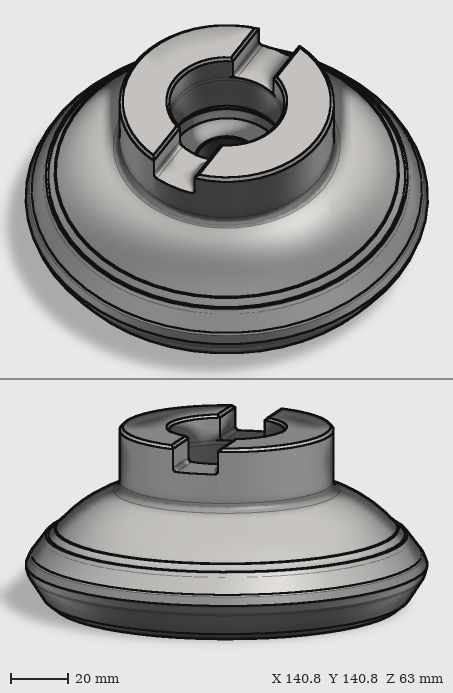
import cadquery as cq
import math

outer_diameter = 140.8
height = 63.0

hub_diameter = 75.0
hub_chamfer = 1.1
hub_fillet = 3.2
slot_width = 16.5
slot_depth = 9.2
slot_floor_radius = 1.4
slot_chamfer = 1.0

bore_entry_diameter = 40.3
bore_diameter = 40.0
bore_chamfer = 1.0
bore_taper_height = 1.4
bore_end_z = 39.4
relief_depth = 2.0
relief_flare_angle = 30.0
relief_wall_height = 0.4
bore_floor_z = 33.0
bolt_hole_diameter = 22.0
bolt_hole_chamfer = 0.4

dome_top_z = 41.2
dome_middle_radius = 50.4
dome_middle_z = 35.2
dome_end_radius = 59.8
dome_end_z = 26.9
rim_bevel = 0.4

seat_upper_radius = 64.2
seat_upper_z = 22.8
seat_diameter = 136.5
seat_top_z = 17.5
seat_bottom_z = 10.1
body_base_radius = 60.3

ring_top_z = 24.5
ring_top_radius = 63.4
ring_edge_drop = 0.3
ring_edge_step = 0.3
nose_upper_radius = 69.1
nose_upper_z = 16.9
nose_top_z = 14.0
nose_bottom_z = 13.5
nose_lower_radius = 69.5
nose_lower_z = 10.8
flank_top_radius = 69.1
flank_top_z = 10.1
flank_bottom_radius = 64.2
flank_bottom_z = 2.5
ring_base_radius = 61.4
ring_base_bevel = 0.4

selection_margin = 0.1

outer_radius = outer_diameter / 2
hub_radius = hub_diameter / 2
bore_entry_radius = bore_entry_diameter / 2
bore_radius = bore_diameter / 2
bolt_hole_radius = bolt_hole_diameter / 2
seat_radius = seat_diameter / 2
slot_floor_z = height - slot_depth
rim_radius = dome_end_radius + rim_bevel
rim_z = seat_upper_z + seat_upper_radius - rim_radius
ring_inner_radius = seat_upper_radius - (ring_top_z - seat_upper_z)


def revolve(profile):
    """Turn a closed (radius, height) outline about the Z axis."""
    return profile.close().revolve(360, (0, 0, 0), (0, 1, 0))


def body_blank():
    """Body without its bore and slot."""
    blank = revolve(
        cq.Workplane("XZ")
        .lineTo(body_base_radius, 0)
        .lineTo(seat_radius, seat_bottom_z)
        .lineTo(seat_radius, seat_top_z)
        .lineTo(seat_upper_radius, seat_upper_z)
        .lineTo(rim_radius, rim_z)
        .lineTo(dome_end_radius, dome_end_z)
        .threePointArc((dome_middle_radius, dome_middle_z), (hub_radius, dome_top_z))
        .lineTo(hub_radius, height)
        .lineTo(0, height)
    )
    blank = blank.faces(">Z").edges().chamfer(hub_chamfer)
    reach = hub_radius + selection_margin
    hub_root = cq.selectors.BoxSelector(
        (-reach, -reach, dome_top_z - selection_margin),
        (reach, reach, dome_top_z + selection_margin),
        boundingbox=True,
    )
    return blank.edges(hub_root).fillet(hub_fillet)


def bore_cutter():
    """Stepped bore with a relief groove above its floor, and the bolt hole below."""
    relief_radius = bore_radius + relief_depth
    relief_top_z = bore_end_z - relief_depth / math.tan(math.radians(relief_flare_angle))
    return revolve(
        cq.Workplane("XZ")
        .lineTo(bolt_hole_radius, 0)
        .lineTo(bolt_hole_radius, bore_floor_z - bolt_hole_chamfer)
        .lineTo(bolt_hole_radius + bolt_hole_chamfer, bore_floor_z)
        .lineTo(bore_radius, bore_floor_z)
        .lineTo(relief_radius, relief_top_z - relief_wall_height)
        .lineTo(relief_radius, relief_top_z)
        .lineTo(bore_radius, bore_end_z)
        .lineTo(bore_radius, slot_floor_z - bore_taper_height)
        .lineTo(bore_entry_radius, slot_floor_z)
        .lineTo(bore_entry_radius, height - bore_chamfer)
        .lineTo(bore_entry_radius + bore_chamfer, height)
        .lineTo(0, height)
    )


def slot_cutter():
    """Slot along Y with rounded floor corners and chamfered top edges."""
    half_width = slot_width / 2
    slot = (
        cq.Workplane("XY")
        .box(slot_width, hub_diameter, slot_depth, centered=(True, True, False))
        .edges("|Y and <Z")
        .fillet(slot_floor_radius)
        .translate((0, 0, slot_floor_z))
    )
    mouth = (
        cq.Workplane("XZ")
        .moveTo(-half_width, height - slot_chamfer)
        .lineTo(half_width, height - slot_chamfer)
        .lineTo(half_width + slot_chamfer, height)
        .lineTo(-half_width - slot_chamfer, height)
        .close()
        .extrude(hub_radius, both=True)
    )
    return slot.union(mouth)


def make_body():
    return body_blank().cut(bore_cutter()).cut(slot_cutter())


def make_cutting_ring():
    """Ring around the rim of the body, resting on the body's conical seat."""
    return revolve(
        cq.Workplane("XZ")
        .moveTo(body_base_radius, 0)
        .lineTo(ring_base_radius - ring_base_bevel, 0)
        .lineTo(ring_base_radius, ring_base_bevel)
        .lineTo(flank_bottom_radius, flank_bottom_z)
        .lineTo(flank_top_radius, flank_top_z)
        .lineTo(nose_lower_radius, nose_lower_z)
        .lineTo(outer_radius, nose_bottom_z)
        .lineTo(outer_radius, nose_top_z)
        .lineTo(nose_upper_radius, nose_upper_z)
        .lineTo(ring_top_radius + ring_edge_step, ring_top_z - ring_edge_drop)
        .lineTo(ring_top_radius, ring_top_z)
        .lineTo(ring_inner_radius, ring_top_z)
        .lineTo(seat_upper_radius, seat_upper_z)
        .lineTo(seat_radius, seat_top_z)
        .lineTo(seat_radius, seat_bottom_z)
    )


body = make_body()
cutting_ring = make_cutting_ring()

result = cq.Compound.makeCompound([body.val(), cutting_ring.val()])